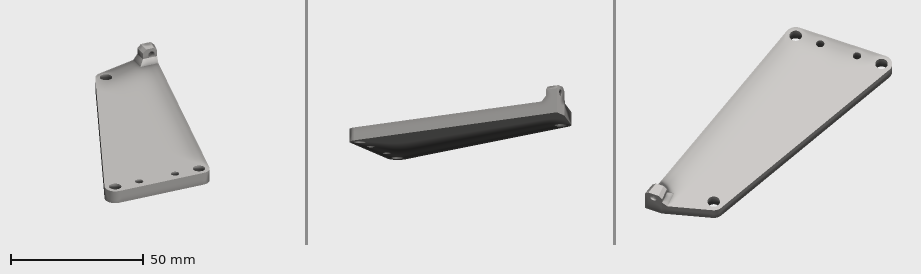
import cadquery as cq
import math

length = 96.25
width = 63.5
height = 10.8

plate_thickness = 5.0
corner_radius = 4.0
left_edge_length = 7.0

mount_diameter = 4.7
mount_spacing_x = 83.1
mount_spacing_y = 35.0
small_diameter = 3.2
small_spacing = 15.0

lug_thickness = 5.0
lug_top_chamfer = 1.4
lug_foot_size = 2.0
lug_hole_diameter = 2.6
lug_hole_height = 8.2
overhang = 4.8

right_x = length - corner_radius
left_x = right_x - mount_spacing_x
front_y = corner_radius
rear_y = front_y + mount_spacing_y
front_right = (right_x, front_y)
rear_right = (right_x, rear_y)
rear_left = (left_x, rear_y)

lug_front_y = width - left_edge_length
rear_left_tip = (0, width)
left_edge_end = (0, lug_front_y)


def on_corner(center, angle):
    """Point on a rounded corner at the given angle in radians."""
    return (
        center[0] + corner_radius * math.cos(angle),
        center[1] + corner_radius * math.sin(angle),
    )


def tangent_angle(point, center, side):
    """Angle on the corner circle where a line from an outside point touches it."""
    dx = point[0] - center[0]
    dy = point[1] - center[1]
    return math.atan2(dy, dx) + side * math.acos(corner_radius / math.hypot(dx, dy))


def outline_prism(prism_height):
    """Plate outline, made of straight edges tangent to three round corners."""
    left_angle = tangent_angle(left_edge_end, rear_left, 1)
    rear_angle = tangent_angle(rear_left_tip, rear_right, -1)
    center_line = math.atan2(front_y - rear_y, mount_spacing_x)
    front_angle = center_line - math.pi / 2
    left_turn = left_angle % (2 * math.pi)
    front_turn = front_angle % (2 * math.pi)

    return (
        cq.Workplane("XY")
        .moveTo(*rear_left_tip)
        .lineTo(*left_edge_end)
        .lineTo(*on_corner(rear_left, left_angle))
        .threePointArc(
            on_corner(rear_left, (left_turn + front_turn) / 2),
            on_corner(rear_left, front_angle),
        )
        .lineTo(*on_corner(front_right, front_angle))
        .threePointArc(
            on_corner(front_right, front_angle / 2),
            on_corner(front_right, 0),
        )
        .lineTo(*on_corner(rear_right, 0))
        .threePointArc(
            on_corner(rear_right, rear_angle / 2),
            on_corner(rear_right, rear_angle),
        )
        .close()
        .extrude(prism_height)
    )


def make_lug():
    """Lug trimmed to the plate outline, with its front and rear top edges chamfered."""
    block = cq.Workplane("XY").box(lug_thickness, left_edge_length, height, centered=False)
    block = block.translate((0, lug_front_y, 0))
    lug = outline_prism(height).intersect(block)
    return lug.faces(">Z").edges("not |Y").chamfer(lug_top_chamfer)


def make_lug_foot():
    """45 degree slope around the foot of the lug, trimmed to the plate outline."""
    foot_x = lug_thickness + lug_foot_size
    foot_y = lug_front_y - lug_foot_size
    slope = (
        cq.Workplane("XY")
        .workplane(offset=plate_thickness)
        .moveTo(-overhang, foot_y)
        .lineTo(foot_x, foot_y)
        .lineTo(foot_x, width + overhang)
        .lineTo(-overhang, width + overhang)
        .close()
        .extrude(lug_foot_size, taper=45)
    )
    return outline_prism(height).intersect(slope)


def hole_cutters(points, diameter):
    """Cylinders through the plate thickness."""
    return cq.Workplane("XY").pushPoints(points).circle(diameter / 2).extrude(plate_thickness)


plate = outline_prism(plate_thickness)

mount_points = [front_right, rear_right, rear_left]
plate = plate.cut(hole_cutters(mount_points, mount_diameter))

middle_y = (front_y + rear_y) / 2
small_points = [(right_x, middle_y + side * small_spacing / 2) for side in (-1, 1)]
plate = plate.cut(hole_cutters(small_points, small_diameter))

lug_hole = (
    cq.Workplane("YZ")
    .center(width - left_edge_length / 2, lug_hole_height)
    .circle(lug_hole_diameter / 2)
    .extrude(lug_thickness)
)

result = plate.union(make_lug()).union(make_lug_foot()).cut(lug_hole)